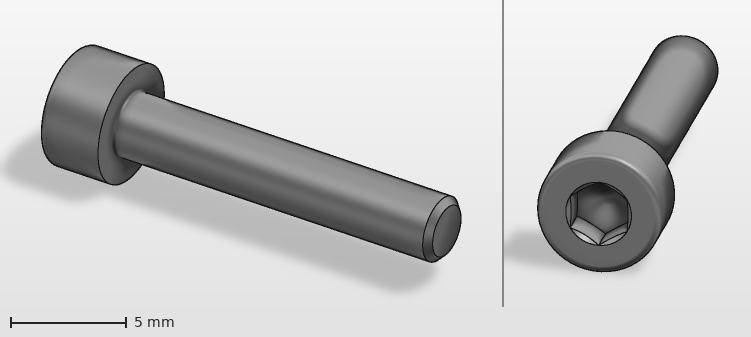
import cadquery as cq
import math

total_length = 19.0
head_diameter = 5.5
head_height = 3.0
head_edge_radius = 0.3
shank_diameter = 3.0
neck_fillet = 0.15
tip_chamfer_length = 0.3
tip_diameter = 2.35
socket_width = 2.5
socket_depth = 1.5
socket_cone_angle = 120.0

socket_corner_diameter = socket_width / math.cos(math.radians(30))
socket_corner_radius = socket_corner_diameter / 2
socket_cone_depth = socket_corner_radius / math.tan(math.radians(socket_cone_angle / 2))


def revolve_about_x(profile):
    return profile.close().revolve(360, (0, 0, 0), (1, 0, 0))


def make_head():
    head = cq.Workplane("YZ").circle(head_diameter / 2).extrude(head_height)
    return head.faces("<X").edges().fillet(head_edge_radius)


def make_shank():
    """Shank with a concave fillet under the head and a chamfered tip."""
    shank_radius = shank_diameter / 2
    arc_inset = neck_fillet * (1 - math.sqrt(0.5))
    profile = (
        cq.Workplane("XY")
        .moveTo(head_height / 2, 0)
        .lineTo(head_height / 2, shank_radius + neck_fillet)
        .lineTo(head_height, shank_radius + neck_fillet)
        .threePointArc(
            (head_height + arc_inset, shank_radius + arc_inset),
            (head_height + neck_fillet, shank_radius),
        )
        .lineTo(total_length - tip_chamfer_length, shank_radius)
        .lineTo(total_length, tip_diameter / 2)
        .lineTo(total_length, 0)
    )
    return revolve_about_x(profile)


def make_socket():
    """Hexagon with corners on the Z axis, a conical bottom and a countersunk mouth."""
    hexagon = (
        cq.Workplane("YZ")
        .transformed(rotate=(0, 0, 90))
        .polygon(6, socket_corner_diameter)
        .extrude(socket_depth + socket_cone_depth)
    )
    envelope_scale = 1.2
    envelope_radius = envelope_scale * socket_corner_radius
    envelope_apex = socket_depth + socket_cone_depth
    envelope = revolve_about_x(
        cq.Workplane("XY")
        .lineTo(0, envelope_radius)
        .lineTo(envelope_apex - envelope_scale * socket_cone_depth, envelope_radius)
        .lineTo(envelope_apex, 0)
    )
    mouth = revolve_about_x(
        cq.Workplane("XY")
        .lineTo(0, socket_corner_radius)
        .lineTo(socket_corner_radius, 0)
    )
    return hexagon.intersect(envelope).union(mouth)


result = make_head().union(make_shank()).cut(make_socket())